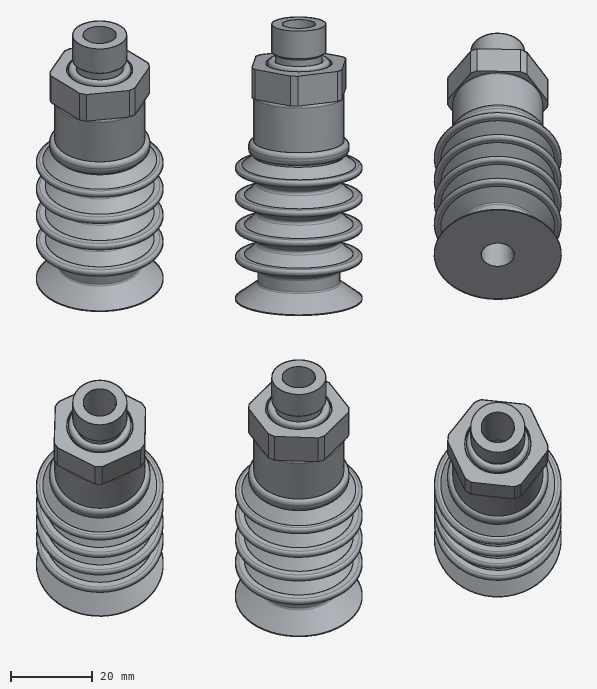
import cadquery as cq
import math


total_height = 69.5
passage_radius = 4.0

hex_sides = 6
hex_bottom_z = 52.05
hex_height = 7.6
hex_top_z = hex_bottom_z + hex_height
hex_across_flats = 22.0
hex_corner_radius = 12.2
thread_radius = 6.6
thread_bottom_z = 62.55
neck_radius = 5.6
neck_top_z = 61.9
groove_radius = 8.05

ring_wire_diameter = 2.0
ring_wire_radius = ring_wire_diameter / 2
ring_centre_radius = neck_radius + ring_wire_radius
ring_top_z = 60.5
ring_centre_z = ring_top_z - ring_wire_radius
groove_bottom_z = ring_centre_z - ring_wire_radius

collar_radius = hex_across_flats / 2
collar_edge_radius = 0.8
bead_round = 1.25
bead_radius = collar_radius + bead_round
bead_centre_z = 38.35
bead_land = 0.7
collar_bottom_z = 36.3

fold_count = 4
fold_pitch = 7.5
lowest_fold_z = 10.55
fold_radius = 15.5
fold_rim_round = 0.8
top_cone_radius = 13.9
upper_cone_radius = 13.3
lower_cone_radius = 13.9
valley_radius = 9.5
valley_depth = 3.55
valley_round = 0.7

waist_radius = 10.0
waist_top_z = 7.65
waist_bottom_z = 4.25
waist_round = 0.5
lip_radius = fold_radius
lip_thickness = 0.2


def direction(start, end):
    """Unit vector from one (radius, height) point to another."""
    length = math.dist(start, end)
    return (end[0] - start[0]) / length, (end[1] - start[1]) / length


def round_corner(profile, before, corner, after, radius):
    """Draw a line towards the corner and a tangent arc of the radius around it."""
    back = direction(corner, before)
    ahead = direction(corner, after)
    half_angle = math.acos(back[0] * ahead[0] + back[1] * ahead[1]) / 2
    tangent_length = radius / math.tan(half_angle)
    middle_length = radius / math.sin(half_angle) - radius
    halfway = direction((0, 0), (back[0] + ahead[0], back[1] + ahead[1]))

    def offset(vector, length):
        return corner[0] + vector[0] * length, corner[1] + vector[1] * length

    arc_start = offset(back, tangent_length)
    arc_middle = offset(halfway, middle_length)
    arc_end = offset(ahead, tangent_length)
    return profile.lineTo(*arc_start).threePointArc(arc_middle, arc_end)


def revolve_about_z(profile):
    """Revolve a closed profile, drawn as (radius, height), about the Z axis."""
    return profile.revolve(360, (0, 0, 0), (0, 1, 0))


def make_fitting():
    hex_corner_diameter = hex_across_flats / math.cos(math.pi / hex_sides)
    hexagon = (
        cq.Workplane("XY", origin=(0, 0, hex_bottom_z))
        .polygon(hex_sides, hex_corner_diameter)
        .extrude(hex_height)
    )
    corner_turning = (
        cq.Workplane("XY", origin=(0, 0, hex_bottom_z)).circle(hex_corner_radius).extrude(hex_height)
    )
    ring_groove = (
        cq.Workplane("XY", origin=(0, 0, groove_bottom_z))
        .circle(groove_radius)
        .extrude(hex_top_z - groove_bottom_z)
    )
    spigot = revolve_about_z(
        cq.Workplane("XZ")
        .moveTo(0, groove_bottom_z)
        .lineTo(neck_radius, groove_bottom_z)
        .lineTo(neck_radius, neck_top_z)
        .lineTo(thread_radius, thread_bottom_z)
        .lineTo(thread_radius, total_height)
        .lineTo(0, total_height)
        .close()
    )
    passage = cq.Workplane("XY").circle(passage_radius).extrude(total_height)
    return hexagon.intersect(corner_turning).cut(ring_groove).union(spigot).cut(passage)


def make_sealing_ring():
    return revolve_about_z(
        cq.Workplane("XZ").moveTo(ring_centre_radius, ring_centre_z).circle(ring_wire_radius)
    )


def draw_collar(profile):
    """Collar from its top face down to the start of the first cone."""
    arc_45 = math.sqrt(0.5)
    edge_centre_radius = collar_radius - collar_edge_radius
    edge_centre_z = hex_bottom_z - collar_edge_radius
    upper_z = bead_centre_z + bead_land / 2
    lower_z = bead_centre_z - bead_land / 2
    bead_middle_radius = collar_radius + bead_round * arc_45
    return (
        profile.lineTo(edge_centre_radius, hex_bottom_z)
        .threePointArc(
            (edge_centre_radius + collar_edge_radius * arc_45, edge_centre_z + collar_edge_radius * arc_45),
            (collar_radius, edge_centre_z),
        )
        .lineTo(collar_radius, upper_z + bead_round)
        .threePointArc((bead_middle_radius, upper_z + bead_round * arc_45), (bead_radius, upper_z))
        .lineTo(bead_radius, lower_z)
        .threePointArc(
            (bead_middle_radius, lower_z - bead_round * arc_45), (collar_radius, lower_z - bead_round)
        )
        .lineTo(collar_radius, collar_bottom_z)
    )


def draw_fold_rim(profile, centre_z, cone_radius):
    """Rounded rim of one fold, from the cone above it to the cone below it."""
    round_centre_radius = fold_radius - fold_rim_round
    return (
        profile.lineTo(cone_radius, centre_z + fold_rim_round)
        .lineTo(round_centre_radius, centre_z + fold_rim_round)
        .threePointArc((fold_radius, centre_z), (round_centre_radius, centre_z - fold_rim_round))
        .lineTo(lower_cone_radius, centre_z - fold_rim_round)
    )


def draw_folds(profile):
    """All rims, with a rounded valley between each two."""
    cone_radius = top_cone_radius
    for fold in reversed(range(fold_count)):
        centre_z = lowest_fold_z + fold * fold_pitch
        profile = draw_fold_rim(profile, centre_z, cone_radius)
        cone_radius = upper_cone_radius
        if fold > 0:
            profile = round_corner(
                profile,
                (lower_cone_radius, centre_z - fold_rim_round),
                (valley_radius, centre_z - valley_depth),
                (upper_cone_radius, centre_z - fold_pitch + fold_rim_round),
                valley_round,
            )
    return profile


def draw_lip(profile):
    """Waist below the lowest fold and the flared lip under it."""
    fold_underside = (lower_cone_radius, lowest_fold_z - fold_rim_round)
    waist_top = (waist_radius, waist_top_z)
    waist_bottom = (waist_radius, waist_bottom_z)
    lip_edge = (lip_radius, lip_thickness)
    profile = round_corner(profile, fold_underside, waist_top, waist_bottom, waist_round)
    profile = round_corner(profile, waist_top, waist_bottom, lip_edge, waist_round)
    return profile.lineTo(*lip_edge).lineTo(lip_radius, 0)


def make_bellows():
    profile = cq.Workplane("XZ").moveTo(passage_radius, hex_bottom_z)
    profile = draw_collar(profile)
    profile = draw_folds(profile)
    profile = draw_lip(profile)
    return revolve_about_z(profile.lineTo(passage_radius, 0).close())


fitting = make_fitting()
sealing_ring = make_sealing_ring()
bellows = make_bellows()

result = cq.Compound.makeCompound([fitting.val(), sealing_ring.val(), bellows.val()])